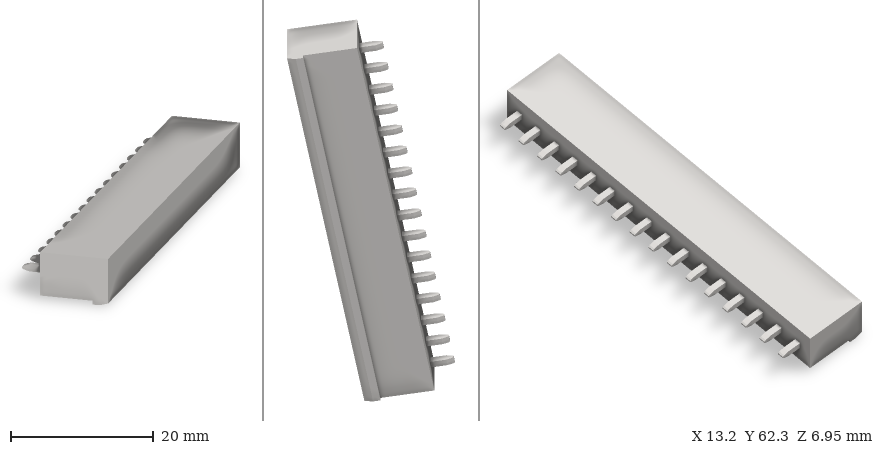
import cadquery as cq

length = 62.3
body_depth = 9.95
body_height = 6.4

lip_depth = 2.3
lip_drop = 0.55
lip_bevel_run = 1.25
lip_bevel_rise = 0.4

pin_count = 16
end_margin = 2.55
pin_size = 1.0
pin_length = 3.3
pin_from_top = 3.25
tip_length = 1.05
tip_height = 0.25
shoulder_length = 0.25
shoulder_height = 0.55

pin_z = body_height - pin_from_top
pin_pitch = (length - 2 * end_margin) / (pin_count - 1)


def make_housing():
    """Extrude the end profile of the block and its bevelled lip along Y."""
    lip_start = body_depth - lip_depth
    profile = [
        (0, 0),
        (lip_start, 0),
        (lip_start, -lip_drop),
        (body_depth - lip_bevel_run, -lip_drop),
        (body_depth, lip_bevel_rise - lip_drop),
        (body_depth, body_height),
        (0, body_height),
    ]
    return cq.Workplane("XZ").polyline(profile).close().extrude(-length)


def make_pin(center_y):
    """Make one pin that tapers in height towards its tip."""
    half_size = pin_size / 2
    half_tip = tip_height / 2
    half_shoulder = shoulder_height / 2
    shoulder_x = shoulder_length - pin_length
    taper_x = tip_length - pin_length
    profile = [
        (0, pin_z - half_size),
        (taper_x, pin_z - half_size),
        (shoulder_x, pin_z - half_shoulder),
        (-pin_length, pin_z - half_tip),
        (-pin_length, pin_z + half_tip),
        (shoulder_x, pin_z + half_shoulder),
        (taper_x, pin_z + half_size),
        (0, pin_z + half_size),
    ]
    pin = cq.Workplane("XZ").polyline(profile).close().extrude(half_size, both=True)
    return pin.translate((0, center_y, 0))


result = make_housing()
for index in range(pin_count):
    result = result.union(make_pin(end_margin + index * pin_pitch))